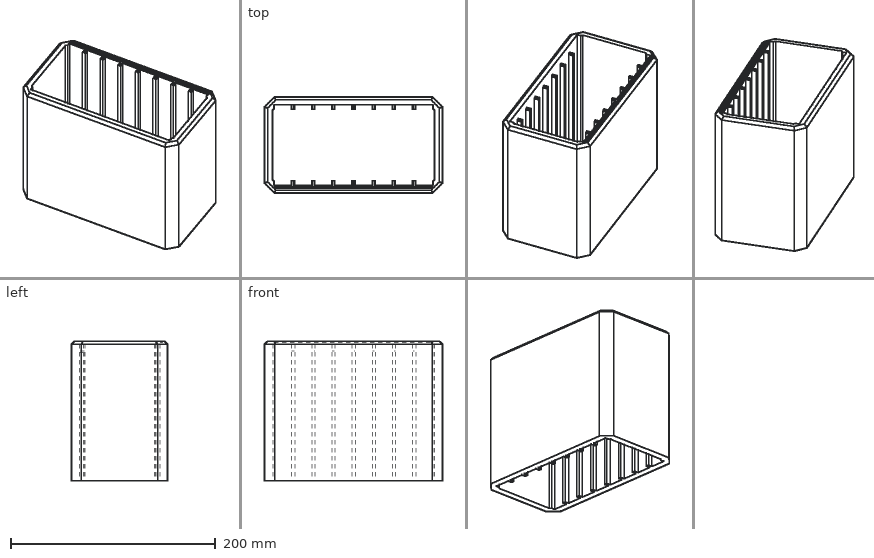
import cadquery as cq

LENGTH = 174.08
WIDTH = 94.0
HEIGHT = 136.5
CORNER_CUT = 9.85
RIM_CHAMFER = 3.0

END_WALL = 7.9
SIDE_WALL = 7.75
POST_STEP = 1.65
POST_LENGTH = 3.7
BORE_HALF_X = LENGTH / 2 - END_WALL
BORE_HALF_Y = WIDTH / 2 - SIDE_WALL
POST_FACE_X = BORE_HALF_X - POST_STEP

LEDGE_WIDTH = 1.8
LEDGE_DEPTH = 1.15
RISER_RUN = 1.25
LEDGE_Z = HEIGHT - LEDGE_DEPTH

RIB_COUNT = 7
RIB_PITCH = 19.72
RIB_WIDTH = 3.2
RIB_PROJECTION = 4.5
RIB_BEVEL_RUN = 0.65
RIB_BEVEL_DROP = 1.0
BACK_RIB_TOP = HEIGHT - 9.6
FRONT_RIB_TOP = LEDGE_Z

BACK_WALL = 1
FRONT_WALL = -1


def make_outer_body():
    """Octagonal prism with a chamfered top edge."""
    prism = (
        cq.Workplane("XY")
        .rect(LENGTH, WIDTH)
        .extrude(HEIGHT)
        .edges("|Z")
        .chamfer(CORNER_CUT)
    )
    return prism.faces(">Z").edges().chamfer(RIM_CHAMFER)


def make_bore():
    """Through opening, narrowed in X by a post in each corner."""
    post_end_y = BORE_HALF_Y - POST_LENGTH
    flank_end_y = post_end_y - POST_STEP
    quarter_outline = [
        (0, 0),
        (BORE_HALF_X, 0),
        (BORE_HALF_X, flank_end_y),
        (POST_FACE_X, post_end_y),
        (POST_FACE_X, BORE_HALF_Y),
        (0, BORE_HALF_Y),
    ]
    quarter = cq.Workplane("XY").polyline(quarter_outline).close().extrude(HEIGHT)
    half = quarter.union(quarter.mirror("YZ"))
    return half.union(half.mirror("XZ"))


def make_ledge_cut():
    """Space above the ledge on the -Y wall, reaching between the corner posts."""
    wall_y = -BORE_HALF_Y
    riser_foot_y = wall_y - LEDGE_WIDTH
    profile = [
        (wall_y, LEDGE_Z),
        (riser_foot_y, LEDGE_Z),
        (riser_foot_y - RISER_RUN, HEIGHT),
        (wall_y, HEIGHT),
    ]
    return cq.Workplane("YZ").polyline(profile).close().extrude(POST_FACE_X, both=True)


def make_rib(centre_x, top, wall):
    """One rib standing on the inner face of the back or front wall."""
    half_width = RIB_WIDTH / 2
    half_flat = half_width - RIB_BEVEL_RUN
    shoulder = top - RIB_BEVEL_DROP
    profile = [
        (centre_x - half_width, 0),
        (centre_x + half_width, 0),
        (centre_x + half_width, shoulder),
        (centre_x + half_flat, top),
        (centre_x - half_flat, top),
        (centre_x - half_width, shoulder),
    ]
    wall_face = cq.Workplane("XZ", origin=(0, wall * BORE_HALF_Y, 0))
    return wall_face.polyline(profile).close().extrude(wall * RIB_PROJECTION)


result = make_outer_body().cut(make_bore()).cut(make_ledge_cut())

first_rib_x = -RIB_PITCH * (RIB_COUNT - 1) / 2
for rib_index in range(RIB_COUNT):
    rib_x = first_rib_x + rib_index * RIB_PITCH
    result = result.union(make_rib(rib_x, BACK_RIB_TOP, BACK_WALL))
    result = result.union(make_rib(rib_x, FRONT_RIB_TOP, FRONT_WALL))